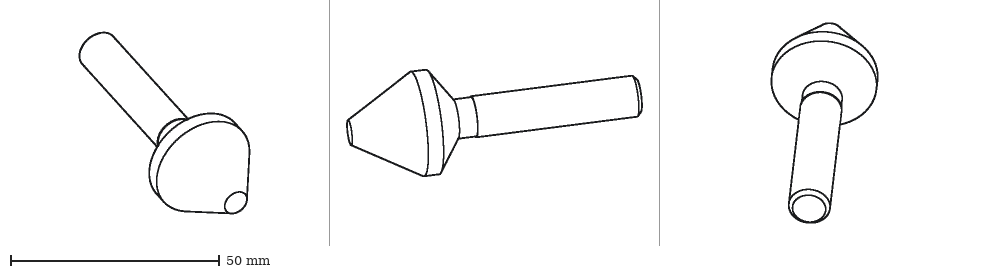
import cadquery as cq

total_length = 71.0
shank_end = 40.55
neck_end = 45.0
land_start = 50.6
land_end = 54.4
shank_chamfer = 1.0

shank_diameter = 10.0
neck_diameter = 9.6
head_diameter = 25.4
tip_diameter = 6.1

shank_radius = shank_diameter / 2
neck_radius = neck_diameter / 2
head_radius = head_diameter / 2
tip_radius = tip_diameter / 2

profile = (
    cq.Workplane("XY")
    .moveTo(0, 0)
    .lineTo(0, shank_radius - shank_chamfer)
    .lineTo(shank_chamfer, shank_radius)
    .lineTo(shank_end, shank_radius)
    .lineTo(shank_end, neck_radius)
    .lineTo(neck_end, neck_radius)
    .lineTo(land_start, head_radius)
    .lineTo(land_end, head_radius)
    .lineTo(total_length, tip_radius)
    .lineTo(total_length, 0)
    .close()
)

axis_start = (0, 0, 0)
axis_end = (1, 0, 0)
result = profile.revolve(360, axis_start, axis_end)